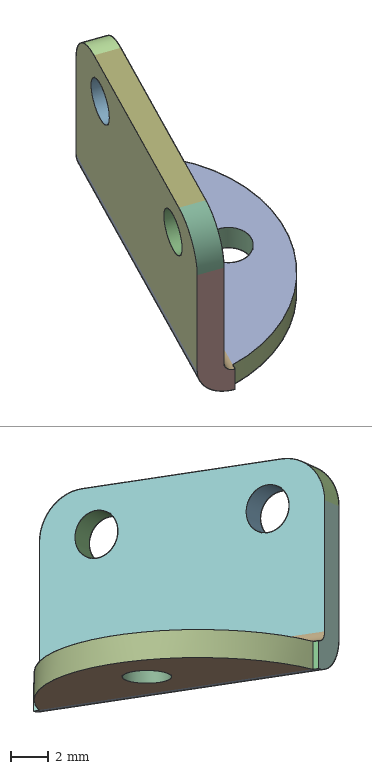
import cadquery as cq
import math

width = 17.78
depth = 8.62
height = 12.21

thickness = 1.56
inner_bend_radius = 0.64
outer_bend_radius = inner_bend_radius + thickness

corner_radius = 2.67
hole_diameter = 2.67
plate_hole_spacing = 10.67
plate_hole_drop = 2.67

tab_radius = 8.89
tab_hole_y = 5.33


def make_upright():
    """Vertical plate above the bend, with rounded top corners and two holes."""
    plate = (
        cq.Workplane("XY", origin=(0, 0, outer_bend_radius))
        .box(width, thickness, height - outer_bend_radius, centered=(True, False, False))
        .edges("|Y and >Z")
        .fillet(corner_radius)
    )
    holes = (
        cq.Workplane("XZ", origin=(0, 0, height - plate_hole_drop))
        .pushPoints([(-plate_hole_spacing / 2, 0), (plate_hole_spacing / 2, 0)])
        .circle(hole_diameter / 2)
        .extrude(-thickness)
    )
    return plate.cut(holes)


def make_bend():
    """Quarter-round bend running the full width of the bracket."""
    bend_center = outer_bend_radius
    diagonal = math.sqrt(0.5)
    outer_middle = bend_center - outer_bend_radius * diagonal
    inner_middle = bend_center - inner_bend_radius * diagonal
    return (
        cq.Workplane("YZ", origin=(-width / 2, 0, 0))
        .moveTo(0, bend_center)
        .threePointArc((outer_middle, outer_middle), (bend_center, 0))
        .lineTo(bend_center, thickness)
        .threePointArc((inner_middle, inner_middle), (thickness, bend_center))
        .close()
        .extrude(width)
    )


def make_tab():
    """Horizontal circular-segment tab behind the bend, with one hole."""
    arc_center_y = depth - tab_radius
    half_chord = math.sqrt(tab_radius**2 - (outer_bend_radius - arc_center_y) ** 2)
    tab = (
        cq.Workplane("XY")
        .moveTo(-half_chord, outer_bend_radius)
        .threePointArc((0, depth), (half_chord, outer_bend_radius))
        .close()
        .extrude(thickness)
    )
    hole = cq.Workplane("XY").center(0, tab_hole_y).circle(hole_diameter / 2).extrude(thickness)
    return tab.cut(hole)


result = make_upright().union(make_bend()).union(make_tab())